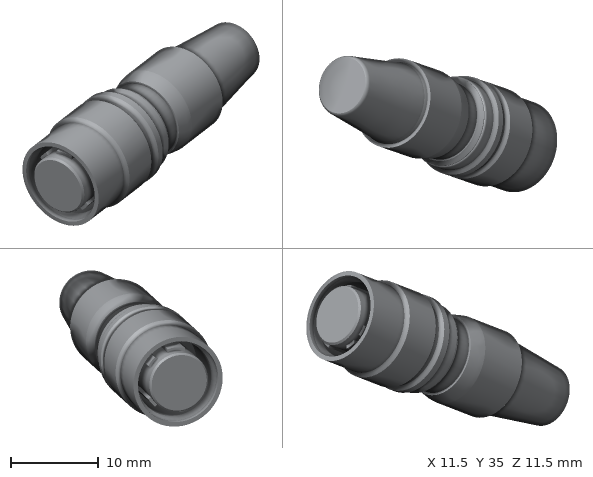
import cadquery as cq


plug_radius = 3.5
plug_chamfer = 0.2
plug_base_radius = 3.95
plug_base_start = 7.0

sleeve_front = 0.45
sleeve_radius = 5.32
grip_radius = 11.5 / 2
bevel = grip_radius - sleeve_radius
grip_front = 5.5
grip_back = 10.68
ring_front = 11.2
ring_back = 12.9
shoulder_start = 14.18
shoulder_round = 0.25
shoulder_radius = 5.15
shoulder_land = 0.1
sleeve_back = 15.0
sleeve_back_radius = 4.7

mouth_radius = 4.8
mouth_back = 1.12
bore_radius = 4.45
bore_front = 1.9
socket_floor = 7.7

key_front = 1.15
key_radius = 3.9
top_key_width = 2.05
bottom_key_width = 1.15
bottom_key_shift = 0.95
side_key_width = 1.25
side_key_angle = 40.0

neck_radius = 4.5
barrel_front = 17.0
barrel_front_radius = 4.8
barrel_taper_end = 19.0
barrel_radius = 5.2
barrel_bulge = 0.052
barrel_back = 25.05
boot_flare = 0.42
boot_flare_radius = 4.8
boot_base_radius = 4.65
boot_tip_radius = 3.55
boot_tip_round = 0.42
boot_end_radius = 3.25
length = 35.0


def turned(outline):
    """Revolve a closed (radius, y) outline about the Y axis."""
    return outline.close().revolve(360, (0, 0, 0), (0, 1, 0))


def body():
    taper_middle = (
        (barrel_front_radius + barrel_radius) / 2 + barrel_bulge,
        (barrel_front + barrel_taper_end) / 2,
    )
    outline = (
        cq.Workplane("XY")
        .moveTo(0, sleeve_front)
        .lineTo(sleeve_radius, sleeve_front)
        .lineTo(sleeve_radius, grip_front)
        .lineTo(grip_radius, grip_front + bevel)
        .lineTo(grip_radius, grip_back - bevel)
        .lineTo(sleeve_radius, grip_back)
        .lineTo(sleeve_radius, ring_front)
        .lineTo(grip_radius, ring_front + bevel)
        .lineTo(grip_radius, ring_back - bevel)
        .lineTo(sleeve_radius, ring_back)
        .lineTo(sleeve_radius, shoulder_start)
        .tangentArcPoint((shoulder_radius, shoulder_start + shoulder_round), relative=False)
        .lineTo(shoulder_radius, shoulder_start + shoulder_round + shoulder_land)
        .lineTo(sleeve_back_radius, sleeve_back)
        .lineTo(neck_radius, sleeve_back)
        .lineTo(neck_radius, barrel_front)
        .lineTo(barrel_front_radius, barrel_front)
        .threePointArc(taper_middle, (barrel_radius, barrel_taper_end))
        .lineTo(barrel_radius, barrel_back)
        .lineTo(boot_flare_radius, barrel_back)
        .lineTo(boot_base_radius, barrel_back + boot_flare)
        .lineTo(boot_tip_radius, length - boot_tip_round)
        .tangentArcPoint((boot_end_radius, length), relative=False)
        .lineTo(0, length)
    )
    return turned(outline)


def socket():
    outline = (
        cq.Workplane("XY")
        .moveTo(0, sleeve_front)
        .lineTo(mouth_radius, sleeve_front)
        .lineTo(mouth_radius, mouth_back)
        .lineTo(bore_radius, bore_front)
        .lineTo(bore_radius, socket_floor)
        .lineTo(0, socket_floor)
    )
    return turned(outline)


def plug():
    outline = (
        cq.Workplane("XY")
        .lineTo(plug_radius - plug_chamfer, 0)
        .lineTo(plug_radius, plug_chamfer)
        .lineTo(plug_radius, plug_base_start)
        .lineTo(plug_base_radius, plug_base_start)
        .lineTo(plug_base_radius, socket_floor)
        .lineTo(0, socket_floor)
    )
    return turned(outline)


def key(angle, width, shift=0):
    """Straight-sided key pointing at `angle` degrees from +X towards +Z, moved sideways by `shift`.

    It starts inside the plug, ends on the key radius and runs back to the socket floor.
    """
    key_length = socket_floor - key_front
    bar = (
        cq.Workplane("XY")
        .box(key_radius, key_length, width, centered=(False, False, True))
        .translate((0, key_front, shift))
        .rotate((0, 0, 0), (0, 1, 0), -angle)
    )
    limit = cq.Workplane("XZ", origin=(0, key_front, 0)).circle(key_radius).extrude(-key_length)
    return bar.intersect(limit)


result = body().cut(socket()).union(plug())
result = result.union(key(90, top_key_width))
result = result.union(key(-90, bottom_key_width, bottom_key_shift))
for side_angle in (180 - side_key_angle, 180 + side_key_angle, -side_key_angle):
    result = result.union(key(side_angle, side_key_width))